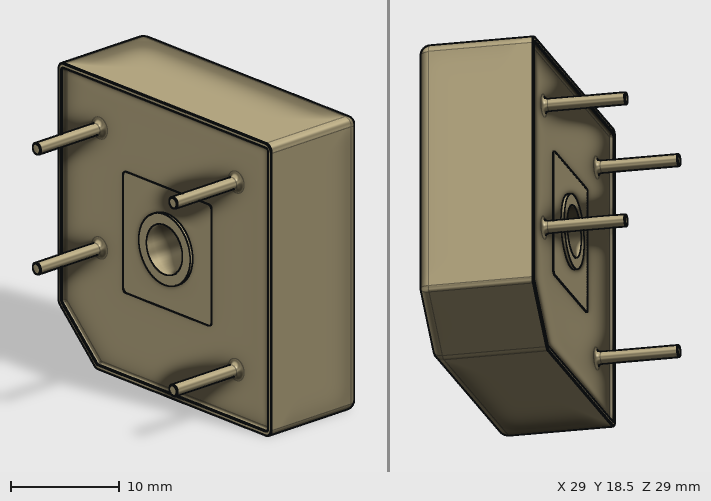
import cadquery as cq


case_size = 29.0
case_depth = 11.0
key_corner = 5.13
corner_radius = 0.78
back_radius = 1.0
rim_edge_chamfer = 0.1

wall_thickness = 0.52
recess_depth = 0.4
recess_fillet = 0.25

plate_size = 12.0
plate_corner_radius = 0.4
plate_height = 0.1
bore_diameter = 4.9
boss_diameter = 7.0

pin_diameter = 1.15
pin_reach = 7.5
pin_root_radius = 0.5
pin_tip_chamfer = 0.1
pin_offset = 9.28
plus_pin_z = -2.58
pin_positions = [
    (-pin_offset, pin_offset),
    (pin_offset, pin_offset),
    (pin_offset, -pin_offset),
    (-pin_offset, plus_pin_z),
]


def front_plane(y):
    """Sketch plane at the given Y: local x is +X, local y is +Z, extrusion goes to -Y."""
    return cq.Workplane("XZ", origin=(0, y, 0))


def keyed_square():
    """Square outline with the -X, -Z corner cut off, on the rim plane."""
    half = case_size / 2
    cut = key_corner - half
    return front_plane(0).polyline(
        [(cut, -half), (half, -half), (half, half), (-half, half), (-half, cut)]
    ).close()


def make_recess():
    recess = keyed_square().offset2D(-wall_thickness).extrude(-recess_depth)
    recess = recess.edges("|Y").fillet(corner_radius - wall_thickness)
    return recess.faces(">Y").edges().fillet(recess_fillet)


def make_case():
    case = keyed_square().extrude(-case_depth)
    case = case.faces(">Y").edges().fillet(back_radius)
    case = case.edges("|Y").fillet(corner_radius)
    case = case.cut(make_recess())
    return case.faces("<Y").edges().chamfer(rim_edge_chamfer)


def make_plate():
    plate = front_plane(recess_depth).rect(plate_size, plate_size).extrude(plate_height)
    return plate.edges("|Y").fillet(plate_corner_radius)


def make_boss():
    return front_plane(recess_depth).circle(boss_diameter / 2).extrude(recess_depth)


def make_pin(x, z):
    """Pin standing on the recess floor, with a concave flare at its root and a chamfered tip."""
    radius = pin_diameter / 2
    length = pin_reach + recess_depth
    flare_radius = radius + pin_root_radius
    arc_offset = pin_root_radius * (1 - 0.5 ** 0.5)
    profile = (
        cq.Workplane("XY", origin=(x, recess_depth, z))
        .lineTo(flare_radius, 0)
        .threePointArc((radius + arc_offset, -arc_offset), (radius, -pin_root_radius))
        .lineTo(radius, pin_tip_chamfer - length)
        .lineTo(radius - pin_tip_chamfer, -length)
        .lineTo(0, -length)
        .close()
    )
    return profile.revolve(360, (0, 0, 0), (0, 1, 0))


result = make_case().union(make_plate()).union(make_boss())
for pin_x, pin_z in pin_positions:
    result = result.union(make_pin(pin_x, pin_z))

bore = front_plane(0).circle(bore_diameter / 2).extrude(-case_depth)
result = result.cut(bore)